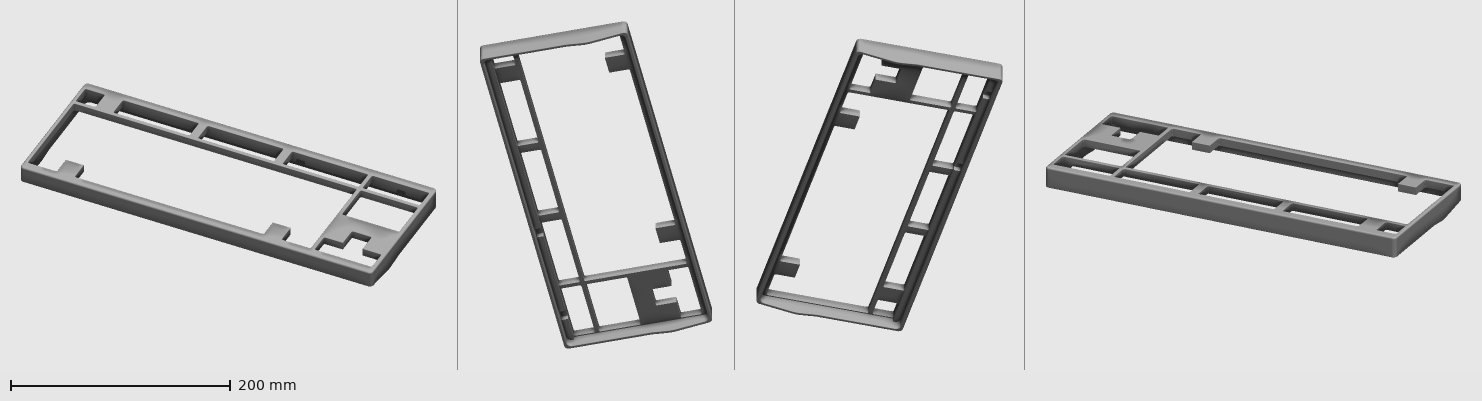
import cadquery as cq
LENGTH = 356.5
DEPTH = 138.0
HEIGHT = 21.8
FRONT = -DEPTH / 2
BACK = DEPTH / 2
CORNER_RADIUS = 4.0
TOP_FILLET = 1.8
RIM_FILLET = 0.65

BACK_HEIGHT = 20.0
FRONT_HEIGHT = 16.5
RIDGE_Y = FRONT + 39.0
RIDGE_START_Y = FRONT + 57.0
RIDGE_HALF_WIDTH = 4.3
RIDGE_ROUND_HEIGHT = HEIGHT - 0.25

KEY = 19.05
KEY_GAP = 0.43
FIELD_COLUMNS = 18.25
FIELD_ROWS = 6.25
MAIN_ROW = 1.25
MAIN_COLUMNS = 15
MAIN_ROWS = 5
LAST_ROW = MAIN_ROW + MAIN_ROWS - 1
NAV_COLUMN = 15.25
NAV_COLUMNS = 3
NAV_ROWS = 2
FUNCTION_KEYS = [(0, 1), (2, 4), (6.5, 4), (11, 4), (NAV_COLUMN, NAV_COLUMNS)]
TAB_COLUMNS = [1.5, 12.5]
WINDOW_RADIUS = 1.5
WINDOW_FILLET = 0.5

DECK_THICKNESS = 8.0
BAND_THICKNESS = 11.5
BAND_FRONT_Y = FIELD_ROWS * KEY / 2 + KEY_GAP
WALL = 3.0
CAVITY_RADIUS = 4.5

NOTCH_XS = [43.5, 145.0]
NOTCH_WIDTH = 10.0
NOTCH_HEIGHT = 4.3
NOTCH_RADIUS = 1.05


def key_block(column, row, columns, rows, gap=KEY_GAP):
    """Full-height prism over a block of keys, grown by the gap on every side."""
    x = (column + columns / 2 - FIELD_COLUMNS / 2) * KEY
    y = (FIELD_ROWS / 2 - row - rows / 2) * KEY
    return (
        cq.Workplane("XY")
        .center(x, y)
        .rect(columns * KEY + 2 * gap, rows * KEY + 2 * gap)
        .extrude(-HEIGHT)
    )


def key_window(column, row, columns, rows):
    """Key block with rounded corners."""
    return key_block(column, row, columns, rows).edges("|Z").fillet(WINDOW_RADIUS)


def main_window():
    """Window of the main keys, with a square-tipped tab in place of two keys of the front row."""
    window = key_block(0, MAIN_ROW, MAIN_COLUMNS, MAIN_ROWS)
    for column in TAB_COLUMNS:
        window = window.cut(key_block(column, LAST_ROW, 1, 2, -KEY_GAP))
    return window.edges("|Z").edges("<Y or >Y").fillet(WINDOW_RADIUS)


def arrow_window():
    """Window of the arrow keys, in the shape of an upside-down T."""
    bottom_row = key_window(NAV_COLUMN, LAST_ROW, NAV_COLUMNS, 1)
    middle_column = key_window(NAV_COLUMN + 1, LAST_ROW - 1, 1, 2)
    return bottom_row.union(middle_column)


def outer_body():
    body = (
        cq.Workplane("YZ")
        .moveTo(FRONT, 0)
        .lineTo(BACK, 0)
        .lineTo(BACK, -BACK_HEIGHT)
        .lineTo(RIDGE_START_Y, -BACK_HEIGHT)
        .lineTo(RIDGE_Y + RIDGE_HALF_WIDTH, -RIDGE_ROUND_HEIGHT)
        .threePointArc((RIDGE_Y, -HEIGHT), (RIDGE_Y - RIDGE_HALF_WIDTH, -RIDGE_ROUND_HEIGHT))
        .lineTo(FRONT, -FRONT_HEIGHT)
        .close()
        .extrude(LENGTH / 2, both=True)
    )
    return body.edges("|Z").fillet(CORNER_RADIUS).faces(">Z").edges().fillet(TOP_FILLET)


def cavity():
    """Space inside the walls and below the deck, less the band along the back."""
    pocket = (
        cq.Workplane("XY", origin=(0, 0, -DECK_THICKNESS))
        .rect(LENGTH - 2 * WALL, DEPTH - 2 * WALL)
        .extrude(DECK_THICKNESS - HEIGHT)
        .edges("|Z")
        .fillet(CAVITY_RADIUS)
    )
    band = cq.Workplane("XY").box(
        LENGTH, BACK - BAND_FRONT_Y, BAND_THICKNESS, centered=(True, False, False)
    )
    return pocket.cut(band.translate((0, BAND_FRONT_Y, -BAND_THICKNESS)))


def notches():
    """Rounded notches through the back band, from its window side to the outer wall."""
    return (
        cq.Workplane("XZ", origin=(0, BACK - WALL, -BAND_THICKNESS))
        .pushPoints([(x, 0) for x in NOTCH_XS])
        .rect(NOTCH_WIDTH, 2 * NOTCH_HEIGHT)
        .extrude(BACK - WALL - BAND_FRONT_Y)
        .edges("|Y")
        .fillet(NOTCH_RADIUS)
    )


def round_bottom_rim(body):
    """Round both edges of the wall ends; the joints across a wall are only as long as the wall."""
    below_front_edge = cq.selectors.BoxSelector(
        (-LENGTH, -DEPTH, -2 * HEIGHT), (LENGTH, DEPTH, -0.99 * FRONT_HEIGHT)
    )
    rim = body.edges(below_front_edge).filter(lambda edge: edge.Length() > 1.1 * WALL)
    return rim.fillet(RIM_FILLET)


result = outer_body()

for first_column, column_count in FUNCTION_KEYS:
    result = result.cut(key_window(first_column, 0, column_count, 1))
result = result.cut(main_window())
result = result.cut(key_window(NAV_COLUMN, MAIN_ROW, NAV_COLUMNS, NAV_ROWS))
result = result.cut(arrow_window())
window_wires = result.faces(">Z").val().innerWires()
result = result.newObject(window_wires).edges().fillet(WINDOW_FILLET)

result = round_bottom_rim(result.cut(cavity()))
result = result.cut(notches())